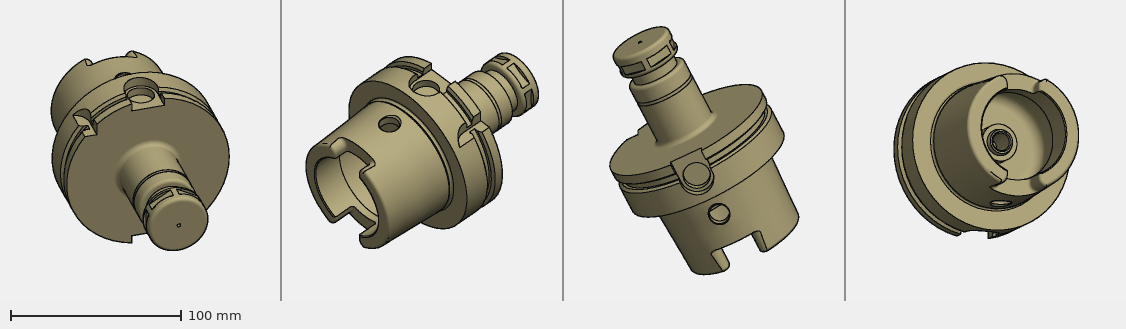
import cadquery as cq
import math


taper_length = 50.0
taper_gauge_radius = 37.9
taper_slope = 0.05
taper_end_x = -2.7
taper_edge_round = 1.8
relief_radius = 37.4
relief_start_x = -1.8
relief_end_x = -0.8
face_groove_depth = 0.3
face_groove_outer_radius = 39.5

flange_radius = 50.0
flange_width = 29.0
grip_center_x = 19.9
grip_floor_width = 4.0
grip_mouth_width = 6.4
grip_floor_radius = 46.1
grip_slope_radius = 47.9

shank_radius = 18.0
shank_end_x = 69.0
shank_root_round = 3.0
shank_end_round = 2.0
band_start_x = 57.0
band_end_x = 59.0
band_depth = 0.1
neck_radius = 14.0
nut_radius = 18.4
nut_start_x = 75.8
nut_end_x = 90.0
nut_round = 2.1
nut_flat_count = 6
nut_flat_distance = 16.75
nut_flat_start_x = 78.9
nut_flat_end_x = 84.1
nut_flat_runout = 0.6

bore_radius = 26.6
bore_mouth_chamfer = 0.65
chamber_start_x = -30.0
chamber_radius = 31.5
bore_floor_x = 0.0
bore_floor_round = 6.5

spigot_radius = 11.05
spigot_root_round = 1.0
spigot_step_x = -12.5
tip_radius = 7.9
tip_end_radius = 7.1
tip_x = -15.5
spigot_bore_radius = 5.25
spigot_bore_mouth_radius = 6.0
spigot_bore_depth = 20.0
duct_radius = 2.5
duct_length = 10.0
through_hole_radius = 1.0

slot_half_width = 10.0
slot_shoulder_z = 32.3
slot_corner_radius = 5.0
slot_end_round = 2.0
upper_slot_depth = 10.0
lower_slot_depth = 15.0

access_hole_radius = 6.0
access_hole_x = -15.1
access_countersink_z = 36.3
access_countersink_height = 2.0

keyway_width = 20.0
keyway_end_x = 4.8
keyway_floor_z = 44.0
chip_hole_radius = 8.0
chip_hole_depth = 5.0
notch_floor = 31.5


def taper_radius(x):
    return taper_gauge_radius + taper_slope * x


def arc_setback(radius):
    """Offset of a quarter arc's midpoint from the straight sides it is tangent to."""
    return radius * (1 - math.sqrt(0.5))


def revolve_profile(profile):
    return profile.close().revolve(360, (0, 0, 0), (1, 0, 0))


def box_between(x_range, y_range, z_range):
    size = [high - low for low, high in (x_range, y_range, z_range)]
    corner = (x_range[0], y_range[0], z_range[0])
    return cq.Workplane("XY").box(*size, centered=False).translate(corner)


def make_taper_and_flange():
    floor_half = grip_floor_width / 2
    mouth_half = grip_mouth_width / 2
    end_radius = taper_radius(-taper_length)
    groove_round = face_groove_depth - relief_end_x
    groove_arc_offset = arc_setback(groove_round)
    arc_offset = arc_setback(taper_edge_round)
    return revolve_profile(
        cq.Workplane("XY")
        .moveTo(-taper_length, 0)
        .lineTo(-taper_length, end_radius - taper_edge_round)
        .threePointArc(
            (-taper_length + arc_offset, end_radius - arc_offset),
            (-taper_length + taper_edge_round, taper_radius(-taper_length + taper_edge_round)),
        )
        .lineTo(taper_end_x, taper_radius(taper_end_x))
        .lineTo(relief_start_x, relief_radius)
        .lineTo(relief_end_x, relief_radius)
        .threePointArc(
            (face_groove_depth - groove_arc_offset, relief_radius + groove_arc_offset),
            (face_groove_depth, relief_radius + groove_round),
        )
        .lineTo(0, face_groove_outer_radius)
        .lineTo(0, flange_radius)
        .lineTo(grip_center_x - mouth_half, flange_radius)
        .lineTo(grip_center_x - floor_half, grip_slope_radius)
        .lineTo(grip_center_x - floor_half, grip_floor_radius)
        .lineTo(grip_center_x + floor_half, grip_floor_radius)
        .lineTo(grip_center_x + floor_half, grip_slope_radius)
        .lineTo(grip_center_x + mouth_half, flange_radius)
        .lineTo(flange_width, flange_radius)
        .lineTo(flange_width, 0)
    )


def make_shank():
    root_radius = shank_radius + shank_root_round
    arc_offset = arc_setback(shank_root_round)
    end_arc_offset = arc_setback(shank_end_round)
    return revolve_profile(
        cq.Workplane("XY")
        .moveTo(flange_width, 0)
        .lineTo(flange_width, root_radius)
        .threePointArc(
            (flange_width + arc_offset, shank_radius + arc_offset),
            (flange_width + shank_root_round, shank_radius),
        )
        .lineTo(band_start_x, shank_radius)
        .lineTo(band_start_x, shank_radius - band_depth)
        .lineTo(band_end_x, shank_radius - band_depth)
        .lineTo(band_end_x, shank_radius)
        .lineTo(shank_end_x - shank_end_round, shank_radius)
        .threePointArc(
            (shank_end_x - end_arc_offset, shank_radius - end_arc_offset),
            (shank_end_x, shank_radius - shank_end_round),
        )
        .lineTo(shank_end_x, neck_radius)
        .lineTo(nut_start_x, neck_radius)
        .lineTo(nut_start_x, 0)
    )


def make_nut():
    plane = cq.Workplane("YZ").workplane(offset=nut_start_x)
    nut = plane.circle(nut_radius).extrude(nut_end_x - nut_start_x)
    nut = nut.edges().fillet(nut_round)
    flats_cutter = revolve_profile(
        cq.Workplane("XY")
        .moveTo(nut_flat_start_x, 0)
        .lineTo(nut_flat_start_x, nut_radius)
        .lineTo(nut_flat_end_x + nut_flat_runout, nut_radius)
        .lineTo(nut_flat_end_x, nut_flat_distance)
        .lineTo(nut_flat_end_x, 0)
    )
    half_step = 180 / nut_flat_count
    corner_diameter = 2 * nut_flat_distance / math.cos(math.radians(half_step))
    hexagon = plane.polygon(nut_flat_count, corner_diameter)
    core = hexagon.extrude(nut_end_x - nut_start_x).rotate((0, 0, 0), (1, 0, 0), half_step)
    flats_cutter = flats_cutter.cut(core)
    return nut.cut(flats_cutter)


def make_bore():
    mouth_radius = bore_radius + bore_mouth_chamfer
    arc_offset = arc_setback(bore_floor_round)
    return revolve_profile(
        cq.Workplane("XY")
        .moveTo(-taper_length, 0)
        .lineTo(-taper_length, mouth_radius)
        .lineTo(bore_mouth_chamfer - taper_length, bore_radius)
        .lineTo(chamber_start_x, bore_radius)
        .lineTo(chamber_start_x, chamber_radius)
        .lineTo(bore_floor_x - bore_floor_round, chamber_radius)
        .threePointArc(
            (bore_floor_x - arc_offset, chamber_radius - arc_offset),
            (bore_floor_x, chamber_radius - bore_floor_round),
        )
        .lineTo(bore_floor_x, 0)
    )


def make_spigot():
    root_offset = arc_setback(spigot_root_round)
    return revolve_profile(
        cq.Workplane("XY")
        .moveTo(tip_x, 0)
        .lineTo(tip_x, tip_end_radius)
        .lineTo(spigot_step_x, tip_radius)
        .lineTo(spigot_step_x, spigot_radius)
        .lineTo(bore_floor_x - spigot_root_round, spigot_radius)
        .threePointArc(
            (bore_floor_x - root_offset, spigot_radius + root_offset),
            (bore_floor_x, spigot_radius + spigot_root_round),
        )
        .lineTo(bore_floor_x, 0)
    )


def make_coolant_duct():
    chamfer = spigot_bore_mouth_radius - spigot_bore_radius
    spigot_bore_end_x = tip_x + spigot_bore_depth
    duct_end_x = spigot_bore_end_x + duct_length
    return revolve_profile(
        cq.Workplane("XY")
        .moveTo(tip_x, 0)
        .lineTo(tip_x, spigot_bore_mouth_radius)
        .lineTo(tip_x + chamfer, spigot_bore_radius)
        .lineTo(spigot_bore_end_x, spigot_bore_radius)
        .lineTo(spigot_bore_end_x, duct_radius)
        .lineTo(duct_end_x, duct_radius)
        .lineTo(duct_end_x, through_hole_radius)
        .lineTo(nut_end_x, through_hole_radius)
        .lineTo(nut_end_x, 0)
    )


def wall_zone(x):
    """Select the slot wall edges that lie in the cross-section at x."""
    margin = 0.1
    outer = flange_radius - margin
    return cq.selectors.BoxSelector((x - margin, -outer, margin), (x + margin, outer, outer))


def make_driving_slot(depth):
    corner_y = slot_half_width + slot_corner_radius
    corner_z = slot_shoulder_z - slot_corner_radius
    arc_offset = arc_setback(slot_corner_radius)
    arc_middle_y = slot_half_width + arc_offset
    arc_middle_z = slot_shoulder_z - arc_offset
    slot = (
        cq.Workplane("YZ")
        .workplane(offset=-taper_length)
        .moveTo(slot_half_width, 0)
        .lineTo(slot_half_width, corner_z)
        .threePointArc((arc_middle_y, arc_middle_z), (corner_y, slot_shoulder_z))
        .lineTo(flange_radius, slot_shoulder_z)
        .lineTo(flange_radius, flange_radius)
        .lineTo(-flange_radius, flange_radius)
        .lineTo(-flange_radius, slot_shoulder_z)
        .lineTo(-corner_y, slot_shoulder_z)
        .threePointArc((-arc_middle_y, arc_middle_z), (-slot_half_width, corner_z))
        .lineTo(-slot_half_width, 0)
        .close()
        .extrude(depth)
    )
    slot = slot.edges(wall_zone(depth - taper_length)).fillet(slot_end_round)
    mouth_plate = box_between(
        (-taper_length - taper_edge_round, -taper_length),
        (-flange_radius, flange_radius),
        (0, flange_radius),
    )
    slot = slot.union(mouth_plate)
    return slot.edges(wall_zone(-taper_length)).fillet(taper_edge_round)


def make_access_hole():
    hole = (
        cq.Workplane("XY")
        .workplane(offset=bore_radius)
        .center(access_hole_x, 0)
        .circle(access_hole_radius)
        .extrude(flange_radius - bore_radius)
    )
    countersink = cq.Solid.makeCone(
        access_hole_radius,
        access_hole_radius + access_countersink_height,
        access_countersink_height,
        pnt=cq.Vector(access_hole_x, 0, access_countersink_z),
    )
    return hole.union(countersink)


def make_keyway():
    half_width = keyway_width / 2
    center_x = keyway_end_x + half_width
    plane = cq.Workplane("XY").workplane(offset=keyway_floor_z)
    round_end = plane.center(center_x, 0).circle(half_width).extrude(flange_radius)
    straight = box_between(
        (center_x, flange_width),
        (-half_width, half_width),
        (keyway_floor_z, flange_radius),
    )
    chip_hole = plane.center(center_x, 0).circle(chip_hole_radius).extrude(-chip_hole_depth)
    return round_end.union(straight).union(chip_hole)


def make_orientation_notch():
    half_width = keyway_width / 2
    center_x = keyway_end_x + half_width
    center_y = -notch_floor - half_width
    round_end = (
        cq.Workplane("XY")
        .workplane(offset=notch_floor)
        .center(center_x, center_y)
        .circle(half_width)
        .extrude(flange_radius)
    )
    straight = box_between(
        (center_x, flange_width),
        (center_y - half_width, -notch_floor),
        (notch_floor, flange_radius),
    )
    return round_end.union(straight)


def both_sides(shape):
    return shape.union(shape.rotate((0, 0, 0), (1, 0, 0), 180))


body = make_taper_and_flange().cut(make_bore())
body = body.cut(make_driving_slot(upper_slot_depth))
body = body.cut(make_driving_slot(lower_slot_depth).rotate((0, 0, 0), (1, 0, 0), 180))

body = body.cut(both_sides(make_access_hole()))
body = body.cut(both_sides(make_keyway()))
body = body.cut(make_orientation_notch())
body = body.union(make_shank()).union(make_nut()).union(make_spigot())
result = body.cut(make_coolant_duct())